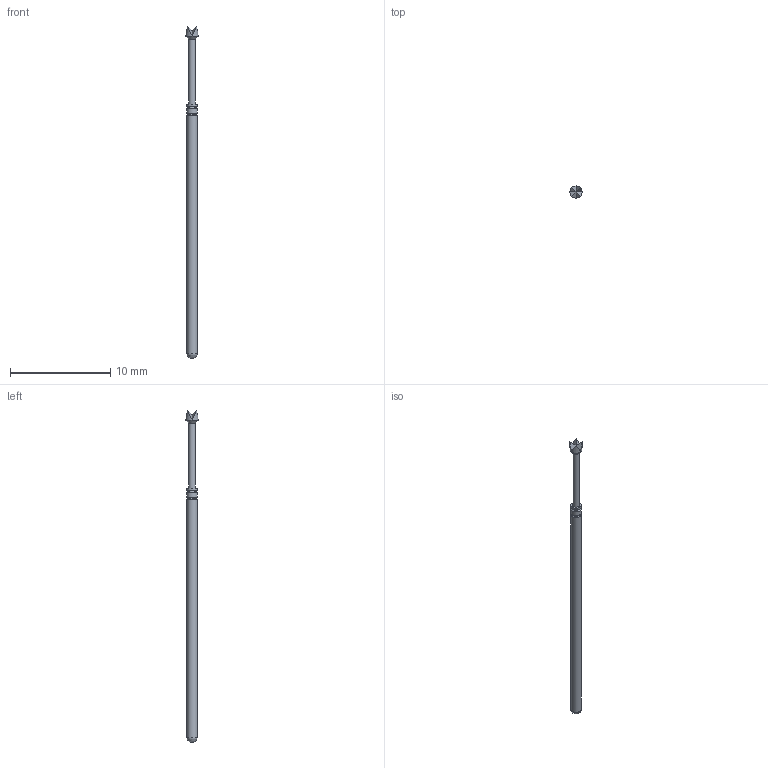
import cadquery as cq
import math

total_length = 33.1

barrel_radius = 0.52
barrel_length = 25.32
barrel_end_radius = 0.4
groove_half_width = 0.12
groove_cut = 0.1
groove_offsets = (0.33, 1.04)

rod_radius = 0.34
rod_overlap = 0.5

head_radius = 0.6
rim_height = 0.06
cone_height = 0.3
valley_depth = 0.95
centre_depth = 0.5
tooth_count = 4

valley_end_z = total_length - valley_depth
head_base_z = valley_end_z - rim_height
cone_base_z = head_base_z - cone_height


def revolve_about_z(outline):
    """Full revolution about Z of a closed outline of (radius, z) points."""
    return cq.Workplane("XZ").polyline(outline).close().revolve(360, (0, 0, 0), (0, 1, 0))


def make_barrel():
    """Round sleeve with a domed lower end and crimp grooves near its top."""
    barrel = cq.Workplane("XY").circle(barrel_radius).extrude(barrel_length)
    barrel = barrel.faces("<Z").edges().fillet(barrel_end_radius)
    for offset in groove_offsets:
        centre_z = barrel_length - offset
        section = [
            (barrel_radius, centre_z - groove_half_width),
            (barrel_radius - groove_cut, centre_z),
            (barrel_radius, centre_z + groove_half_width),
        ]
        barrel = barrel.cut(revolve_about_z(section))
    return barrel


def make_rod():
    """Plunger rod, rooted in the barrel and ending at the head's cone."""
    rod_start = barrel_length - rod_overlap
    return cq.Workplane("XY").workplane(offset=rod_start).circle(rod_radius).extrude(cone_base_z - rod_start)


def make_crown_cutter():
    """Solid above the crown: facets falling from each tooth ridge to the valleys beside it."""
    reach = 2.0
    apex_height = 6.0
    centre = cq.Vector(0, 0, total_length - centre_depth)
    apex = cq.Vector(0, 0, total_length + apex_height)
    rim = []
    for i in range(2 * tooth_count):
        angle = i * math.pi / tooth_count
        is_ridge = i % 2 == 1
        rim_z = total_length if is_ridge else valley_end_z
        point = cq.Vector(head_radius * math.cos(angle), head_radius * math.sin(angle), rim_z)
        rim.append(centre + (point - centre) * reach)

    faces = []
    for i, start in enumerate(rim):
        end = rim[(i + 1) % len(rim)]
        for corner in (centre, apex):
            outline = cq.Wire.makePolygon([corner, start, end], close=True)
            faces.append(cq.Face.makeFromWires(outline))
    return cq.Workplane(obj=cq.Solid.makeSolid(cq.Shell.makeShell(faces)))


def make_head():
    """Tapered neck carrying a cylinder cut into a crown of pointed teeth."""
    profile = [
        (0, cone_base_z),
        (rod_radius, cone_base_z),
        (head_radius, head_base_z),
        (head_radius, total_length),
        (0, total_length),
    ]
    return revolve_about_z(profile).cut(make_crown_cutter())


result = make_barrel().union(make_rod()).union(make_head())